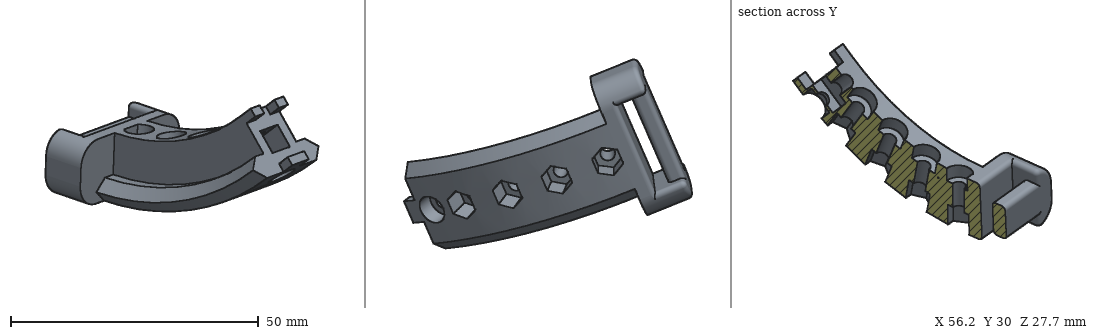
import cadquery as cq
import math


inner_radius = 50.0
outer_radius = 64.0
rail_depth = outer_radius - inner_radius
middle_radius = (inner_radius + outer_radius) / 2
rail_start = -2.5
rail_end = 40.0
rib_width = 10.0
rail_width = 20.0
rail_flat_width = 15.0
edge_slope = (rail_width - rail_flat_width) / 2
edge_radius = outer_radius - edge_slope
shoulder_radius = edge_radius - edge_slope

screw_angles = [0, 10, 20, 30]
hole_diameter = 3.0
counterbore_diameter = 6.0
counterbore_depth = 3.0
nut_width = 5.5
nut_recess_depth = 5.0

drill_start = inner_radius - 2.8

joint_length = 3.05
joint_thickness = 1.9
prong_gap = 4.5
tongue_width = 5.0
socket_width = 5.3
socket_inner_radius = 54.4
socket_outer_radius = 59.55
pin_setback = 3.5
pin_head_depth = 3.5
socket_length = 2 * pin_setback

loop_length = 10.0
loop_width = 30.0
loop_corner_radius = 5.0
slot_width = 20.0
bar_thickness = 3.5
rear_wall_thickness = 3.5
bar_recess = 3.0
loop_rounding = 1.0


def swing(shape, angle):
    """Carry a shape built at the bottom of the bend round to a bend angle."""
    return shape.rotate((0, 0, 0), (0, 1, 0), -angle)


def block(x_start, length, width, radius_from, radius_to, y_middle=0):
    """Box at the bottom of the bend, lying between two distances from the bend axis."""
    height = radius_to - radius_from
    return (
        cq.Workplane("XY")
        .box(length, width, height, centered=(False, True, False))
        .translate((x_start, y_middle, -radius_to))
    )


def drill(diameter, radius_from, radius_to, x=0):
    """Vertical cylinder between two distances from the bend axis."""
    return (
        cq.Workplane("XY", origin=(x, 0, -radius_to))
        .circle(diameter / 2)
        .extrude(radius_to - radius_from)
    )


def make_nut_recess():
    """Hexagonal recess in the outer face with two of its flats square to the rail."""
    corner_diameter = nut_width / math.cos(math.pi / 6)
    return (
        cq.Workplane("XY", origin=(0, 0, -outer_radius - nut_recess_depth))
        .polygon(6, corner_diameter)
        .extrude(2 * nut_recess_depth)
        .rotate((0, 0, 0), (0, 0, 1), 90)
    )


def make_rail():
    half_section = [
        (rib_width / 2, -inner_radius),
        (rib_width / 2, -shoulder_radius),
        (rail_flat_width / 2, -shoulder_radius),
        (rail_width / 2, -edge_radius),
        (rail_flat_width / 2, -outer_radius),
    ]
    mirrored = [(-y, z) for y, z in reversed(half_section)]
    rail = (
        cq.Workplane("YZ")
        .polyline(half_section + mirrored)
        .close()
        .revolve(rail_end - rail_start, (0, 0), (-1, 0))
    )
    return swing(rail, rail_start)


def make_screw_hole():
    counterbore_floor = inner_radius + counterbore_depth
    counterbore = drill(counterbore_diameter, drill_start, counterbore_floor)
    shank_hole = drill(hole_diameter, inner_radius, outer_radius)
    return counterbore.union(shank_hole).union(make_nut_recess())


def make_joint_lugs():
    """Two prongs on the rib and one tongue on the base, all straight."""
    prong_width = (rib_width - prong_gap) / 2
    prong_middle = (rib_width - prong_width) / 2
    tongue = block(0, joint_length, tongue_width, outer_radius - joint_thickness, outer_radius)
    lugs = [tongue]
    for side in (-1, 1):
        prong = block(
            0, joint_length, prong_width, inner_radius, inner_radius + joint_thickness, side * prong_middle
        )
        lugs.append(prong)
    return lugs


def make_joint_socket():
    """Blind socket in the end face, crossed by a pin hole that is counterbored from outside."""
    socket = block(-socket_length, socket_length, socket_width, socket_inner_radius, socket_outer_radius)
    pin_hole = drill(hole_diameter, drill_start, outer_radius, -pin_setback)
    head_recess = drill(counterbore_diameter, outer_radius - pin_head_depth, outer_radius, -pin_setback)
    return socket.union(pin_hole).union(head_recess)


def make_loop_outline():
    outline = block(-loop_length, loop_length, loop_width, inner_radius, outer_radius)
    return outline.edges("|X").fillet(loop_corner_radius)


def make_loop_frame():
    """Two cheeks joined by the front bar, open toward the rail, with rounded edges."""
    bar_half_depth = rail_depth / 2 - bar_recess
    bar_top = middle_radius - bar_half_depth
    bar_bottom = middle_radius + bar_half_depth
    bar_end = bar_thickness - loop_length
    frame = make_loop_outline()
    frame = frame.cut(block(bar_end, -bar_end, slot_width, inner_radius, outer_radius))
    frame = frame.cut(block(-loop_length, bar_thickness, slot_width, inner_radius, bar_top))
    frame = frame.cut(block(-loop_length, bar_thickness, slot_width, bar_bottom, outer_radius))

    front_edges = frame.faces("<X").edges()
    cheek_rims = frame.edges("|X").edges(">Z or <Z")
    bar_rear_edges = frame.edges("|Y").edges(">X")
    return front_edges.add(cheek_rims).add(bar_rear_edges).fillet(loop_rounding)


def make_loop_rear_wall():
    """Wall between the strap slot and the rail, rounded where the strap bears on it."""
    wall_width = slot_width + 4 * loop_rounding
    wall = block(-rear_wall_thickness, rear_wall_thickness, wall_width, inner_radius, outer_radius)
    wall = wall.faces("<X").edges("|Y").fillet(loop_rounding)
    return wall.intersect(make_loop_outline())


rail = make_rail()
for screw_angle in screw_angles:
    rail = rail.cut(swing(make_screw_hole(), screw_angle))
rail = rail.cut(swing(make_joint_socket(), rail_end))
for lug in make_joint_lugs():
    rail = rail.union(swing(lug, rail_end))

strap_loop = make_loop_frame().union(make_loop_rear_wall())
result = rail.union(swing(strap_loop, rail_start))